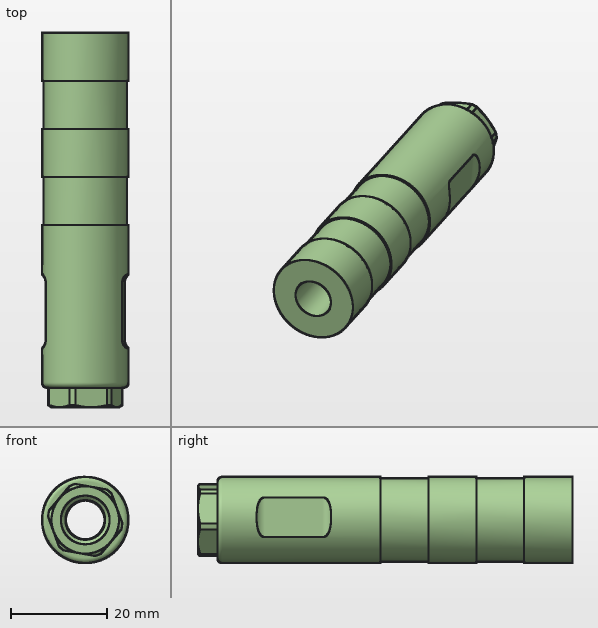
import cadquery as cq
import math

total_length = 78.0
body_diameter = 18.0
hex_length = 4.05

rear_band_length = 10.1
band_length = 10.0
groove_diameter = 17.5
groove_count = 2
groove_cutter_margin = 0.8

front_fillet = 1.0

hex_across_flats = 14.05
hex_corner_diameter = 15.5
hex_corner_angle = 50.0
hex_chamfer_angle = 30.0
hex_face_diameter = hex_across_flats

bore_diameter = 8.0
countersink_diameter = 10.15
counterbore_diameter = 8.3
counterbore_length = 0.4

flats_across = 16.0
flats_length = 12.0
flats_center = 20.0
flats_runout_radius = 2.0
flats_tilt = 4.0

AXIS_START = (0, 0, 0)
AXIS_END = (0, 1, 0)


def cylinder(diameter, start, length):
    """Cylinder around the Y axis, running from start towards +Y."""
    plane = cq.Workplane("XZ", origin=(0, start, 0))
    return plane.circle(diameter / 2).extrude(-length)


def make_body():
    body = cylinder(body_diameter, hex_length, total_length - hex_length)
    body = body.faces("<Y").edges().fillet(front_fillet)
    for index in range(groove_count):
        start = total_length - rear_band_length - (2 * index + 1) * band_length
        ring = cylinder(body_diameter + groove_cutter_margin, start, band_length)
        body = body.cut(ring.cut(cylinder(groove_diameter, start, band_length)))
    return body


def make_hex():
    circumscribed = hex_across_flats / math.cos(math.radians(30))
    prism = (
        cq.Workplane("XZ")
        .polygon(6, circumscribed)
        .extrude(-hex_length)
        .rotate(AXIS_START, AXIS_END, -hex_corner_angle)
    )
    face_radius = hex_face_diameter / 2
    corner_radius = hex_corner_diameter / 2
    chamfer_length = (corner_radius - face_radius) * math.tan(math.radians(hex_chamfer_angle))
    turned_envelope = (
        cq.Workplane("XY")
        .polyline([
            (0, 0),
            (face_radius, 0),
            (corner_radius, chamfer_length),
            (corner_radius, hex_length),
            (0, hex_length),
        ])
        .close()
        .revolve(360, AXIS_START, AXIS_END)
    )
    return prism.intersect(turned_envelope)


def make_bore():
    depth = (countersink_diameter - counterbore_diameter) / 2
    countersink = cq.Workplane("XZ").circle(countersink_diameter / 2).workplane(offset=-depth)
    countersink = countersink.circle(counterbore_diameter / 2).loft()
    counterbore = cylinder(counterbore_diameter, 0, depth + counterbore_length)
    return cylinder(bore_diameter, 0, total_length).union(counterbore).union(countersink)


def make_flat_cutter(side):
    """Cutter for one wrench flat; side is +1 for +X and -1 for -X."""
    height = 2 * flats_runout_radius
    length = flats_length + 2 * flats_runout_radius
    block = cq.Workplane("XY").box(height, length, body_diameter)
    block = block.faces("<X").edges("|Z").fillet(flats_runout_radius)
    block = block.translate((flats_across / 2 + height / 2, flats_center, 0))
    if side < 0:
        block = block.rotate(AXIS_START, AXIS_END, 180)
    return block.rotate(AXIS_START, AXIS_END, -flats_tilt)


result = make_body().union(make_hex()).cut(make_bore())
for side in (-1, 1):
    result = result.cut(make_flat_cutter(side))